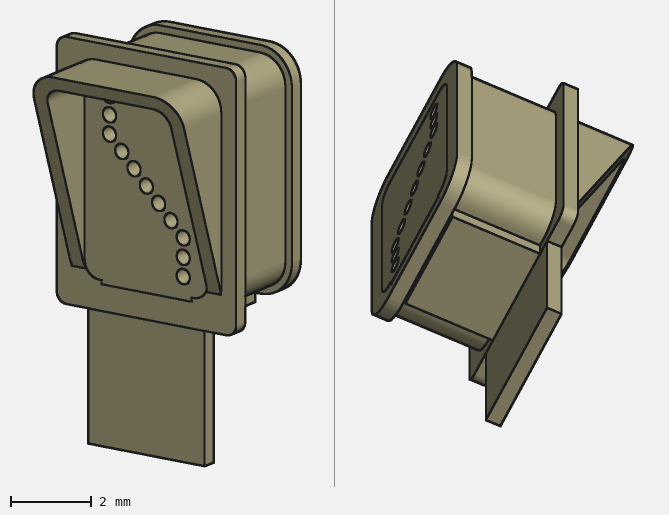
import cadquery as cq


plate_width = 5.4
plate_height = 6.91
plate_thickness = 0.4
plate_corner_radius = 0.3
overall_height = 10.4
tab_width = 3.5
tab_length = overall_height - plate_height

tube_width = 4.5
tube_height = 6.03
tube_corner_radius = 0.75
tube_gap = 2.4
hood_length = 1.89
hood_foot_z = -2.43
flange_overhang = 0.2
flange_thickness = plate_thickness
flange_front = plate_thickness + tube_gap
back = flange_front + flange_thickness

insert_width = 3.7
insert_height = 5.31
insert_corner_radius = 0.45
key_width = 2.7
key_depth = 0.1

hole_diameter = 0.4
hole_offset_x = 1.108
diagonal_half_height = 1.15
diagonal_steps = 6
straight_pitch = 0.5
straight_holes = 2


def block(width, y_front, y_back, z_bottom, z_top):
    """Box centred on X, between the given Y and Z limits."""
    return cq.Workplane("XY").box(
        width, y_back - y_front, z_top - z_bottom, centered=(True, False, False)
    ).translate((0, y_front, z_bottom))


def rounded_block(width, height, radius, y_front, y_back):
    """Centred block whose four edges along Y are rounded."""
    return block(width, y_front, y_back, -height / 2, height / 2).edges("|Y").fillet(radius)


def hood_slope_cutter():
    """Wedge that trims the tube front from the hood tip down to the plate face."""
    tip_z = tube_height / 2
    return (
        cq.Workplane("YZ")
        .polyline([
            (-hood_length, tip_z),
            (0, hood_foot_z),
            (0, -plate_height),
            (-hood_length, -plate_height),
        ])
        .close()
        .extrude(plate_width / 2, both=True)
    )


def insert_envelope():
    """Rounded core with a shallow key along its underside."""
    core = rounded_block(insert_width, insert_height, insert_corner_radius, 0, back)
    key = block(key_width, 0, back, -insert_height / 2 - key_depth, 0)
    return core.union(key)


def make_housing():
    tube = rounded_block(tube_width, tube_height, tube_corner_radius, -hood_length, back)
    tube = tube.cut(hood_slope_cutter())
    hood_opening = rounded_block(
        insert_width, insert_height, insert_corner_radius, -hood_length, 0
    )
    plate = rounded_block(plate_width, plate_height, plate_corner_radius, 0, plate_thickness)
    flange = rounded_block(
        tube_width + 2 * flange_overhang,
        tube_height + 2 * flange_overhang,
        tube_corner_radius + flange_overhang,
        flange_front,
        back,
    )
    boss = block(key_width, plate_thickness, flange_front, -plate_height / 2, 0)
    shell = tube.union(plate).union(flange).union(boss)
    return shell.cut(hood_opening).cut(insert_envelope())


def hole_centres():
    step_x = 2 * hole_offset_x / diagonal_steps
    step_z = 2 * diagonal_half_height / diagonal_steps
    centres = [
        (-hole_offset_x + i * step_x, diagonal_half_height - i * step_z)
        for i in range(diagonal_steps + 1)
    ]
    for i in range(1, straight_holes + 1):
        end_z = diagonal_half_height + i * straight_pitch
        centres.append((-hole_offset_x, end_z))
        centres.append((hole_offset_x, -end_z))
    return centres


def make_insert():
    holes = (
        cq.Workplane("XZ")
        .pushPoints(hole_centres())
        .circle(hole_diameter / 2)
        .extrude(-back)
    )
    return insert_envelope().cut(holes)


def make_tab():
    plate_bottom = -plate_height / 2
    return block(tab_width, 0, plate_thickness, plate_bottom - tab_length, plate_bottom)


housing = make_housing()
insert = make_insert()
tab = make_tab()

result = cq.Compound.makeCompound([body.solids().val() for body in (housing, insert, tab)])